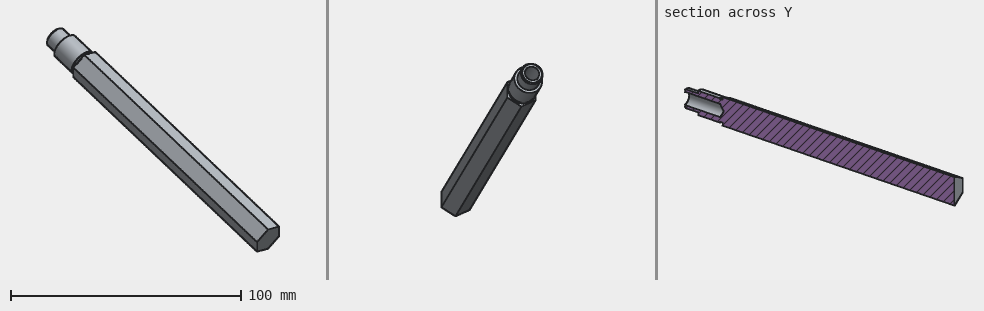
import cadquery as cq
import math

total_length = 142.2
spigot_length = 7.0
collar_end = 18.5
hex_start = 19.8

hex_across_flats = 12.7
collar_diameter = 12.5
neck_diameter = 11.7
spigot_diameter = 9.8
tip_chamfer = 0.5

bore_diameter = 6.4
bore_depth = 18.5
drill_point_angle = 118.0


def hexagonal_bar():
    """Long hexagonal body with corners at the top and bottom."""
    across_corners = hex_across_flats / math.cos(math.radians(30))
    return (
        cq.Workplane("YZ", origin=(hex_start, 0, 0))
        .transformed(rotate=(0, 0, 90))
        .polygon(6, across_corners)
        .extrude(total_length - hex_start)
    )


def cylinder_along_x(start, end, diameter):
    return cq.Workplane("YZ", origin=(start, 0, 0)).circle(diameter / 2).extrude(end - start)


def stepped_end():
    """Chamfered spigot, collar and narrow neck ahead of the hexagon."""
    spigot = cylinder_along_x(0, spigot_length, spigot_diameter).faces("<X").chamfer(tip_chamfer)
    collar = cylinder_along_x(spigot_length, collar_end, collar_diameter)
    neck = cylinder_along_x(collar_end, hex_start, neck_diameter)
    return spigot.union(collar).union(neck)


def drilled_bore():
    radius = bore_diameter / 2
    point_length = radius / math.tan(math.radians(drill_point_angle / 2))
    return (
        cq.Workplane("XY")
        .polyline([(0, 0), (0, radius), (bore_depth, radius), (bore_depth + point_length, 0)])
        .close()
        .revolve(360, (0, 0, 0), (1, 0, 0))
    )


result = hexagonal_bar().union(stepped_end()).cut(drilled_bore())